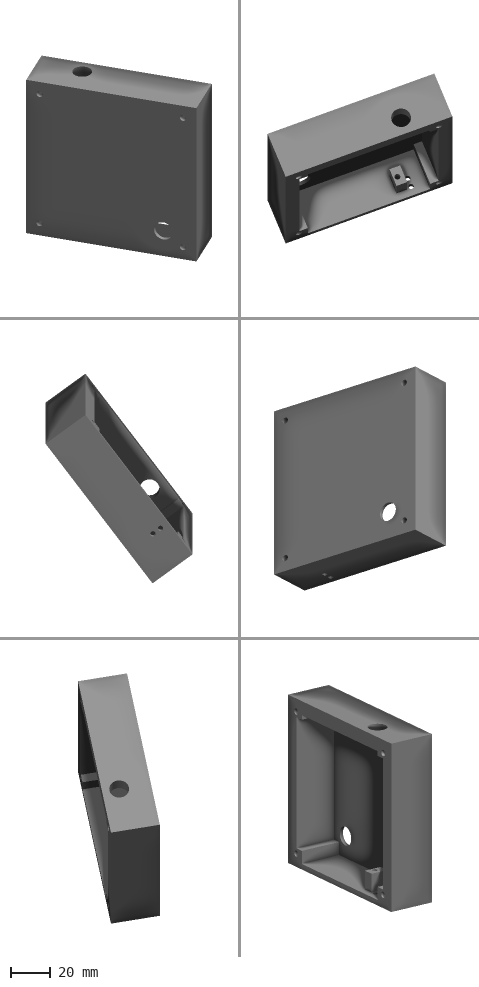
import cadquery as cq

WIDTH = 90.1
DEPTH = 25.0
HEIGHT = 90.0
FRONT_Y = -DEPTH / 2
BACK_Y = DEPTH / 2

FRONT_WALL = 2.0
SIDE_WALL = 7.5
TOP_WALL = SIDE_WALL
BOTTOM_WALL = 3.0
CAVITY_RIGHT = WIDTH / 2 - SIDE_WALL
CAVITY_TOP = HEIGHT / 2 - TOP_WALL
CAVITY_FLOOR = BOTTOM_WALL - HEIGHT / 2
CAVITY_FRONT = FRONT_Y + FRONT_WALL

CORNER_BLOCK_X = 33.1
CORNER_BLOCK_Z = 35.0
SCREW_OFFSET = 37.9
SCREW_DIAMETER = 3.3

CABLE_DIAMETER = 10.0
FRONT_CABLE_X = 27.6
FRONT_CABLE_Z = -30.3
TOP_CABLE_X = -20.7
TOP_CABLE_Y = 3.8

VENT_DIAMETER = 2.7
VENT_X = -24.6
VENT_YS = (3.0, 7.75)

STRIP_WIDTH = 9.8
STRIP_HEIGHT = 69.7
STRIP_THICKNESS = 1.0
STRIP_X = -38.0
STRIP_Z = 0.3

BLOCK_LEFT = -22.2
BLOCK_RIGHT = -16.4
BLOCK_BACK = 8.6
BLOCK_HEIGHT = 10.0
BLOCK_HOLE_DIAMETER = 3.0
BLOCK_HOLE_X = -18.65
BLOCK_HOLE_Y = 4.05
BLOCK_DEPTH = 9.7


def box_between(x_range, y_range, z_range):
    """Box spanning the given (low, high) pair along each axis."""
    spans = (x_range, y_range, z_range)
    size = [high - low for low, high in spans]
    corner = tuple(low for low, high in spans)
    return cq.Workplane("XY").box(*size, centered=False).translate(corner)


def hole_along_y(x, z, diameter, start, end):
    """Cylinder along Y, used to cut a round hole."""
    axis = cq.Vector(0, 1, 0)
    return cq.Workplane(cq.Solid.makeCylinder(diameter / 2, end - start, cq.Vector(x, start, z), axis))


def hole_along_z(x, y, diameter, start, end):
    """Cylinder along Z, used to cut a round hole."""
    return cq.Workplane(cq.Solid.makeCylinder(diameter / 2, end - start, cq.Vector(x, y, start)))


def make_cavity():
    """Rectangular cavity with its four corners left solid for the screws."""
    upright = box_between(
        (-CORNER_BLOCK_X, CORNER_BLOCK_X), (CAVITY_FRONT, BACK_Y), (CAVITY_FLOOR, CAVITY_TOP)
    )
    crosswise = box_between(
        (-CAVITY_RIGHT, CAVITY_RIGHT), (CAVITY_FRONT, BACK_Y), (-CORNER_BLOCK_Z, CORNER_BLOCK_Z)
    )
    return upright.union(crosswise)


def make_strip():
    """Thin rectangular strip, flush with the front face."""
    return box_between(
        (STRIP_X - STRIP_WIDTH / 2, STRIP_X + STRIP_WIDTH / 2),
        (FRONT_Y, FRONT_Y + STRIP_THICKNESS),
        (STRIP_Z - STRIP_HEIGHT / 2, STRIP_Z + STRIP_HEIGHT / 2),
    )


def make_block():
    """Upright block with a round hole through its height."""
    block_top = CAVITY_FLOOR + BLOCK_HEIGHT
    block = box_between(
        (BLOCK_LEFT, BLOCK_RIGHT), (BLOCK_BACK - BLOCK_DEPTH, BLOCK_BACK), (CAVITY_FLOOR, block_top)
    )
    return block.cut(hole_along_z(BLOCK_HOLE_X, BLOCK_HOLE_Y, BLOCK_HOLE_DIAMETER, CAVITY_FLOOR, block_top))


def make_housing(strip):
    """Housing with its cavity, holes and the recess for the strip."""
    housing = cq.Workplane("XY").box(WIDTH, DEPTH, HEIGHT).cut(make_cavity()).cut(strip)
    for x in (-SCREW_OFFSET, SCREW_OFFSET):
        for z in (-SCREW_OFFSET, SCREW_OFFSET):
            housing = housing.cut(hole_along_y(x, z, SCREW_DIAMETER, FRONT_Y, BACK_Y))
    housing = housing.cut(
        hole_along_y(FRONT_CABLE_X, FRONT_CABLE_Z, CABLE_DIAMETER, FRONT_Y, CAVITY_FRONT)
    )
    housing = housing.cut(
        hole_along_z(TOP_CABLE_X, TOP_CABLE_Y, CABLE_DIAMETER, CAVITY_TOP, HEIGHT / 2)
    )
    for y in VENT_YS:
        housing = housing.cut(hole_along_z(VENT_X, y, VENT_DIAMETER, -HEIGHT / 2, CAVITY_FLOOR))
    return housing


strip = make_strip()
block = make_block()
housing = make_housing(strip)

result = cq.Compound.makeCompound([housing.val(), strip.val(), block.val()])